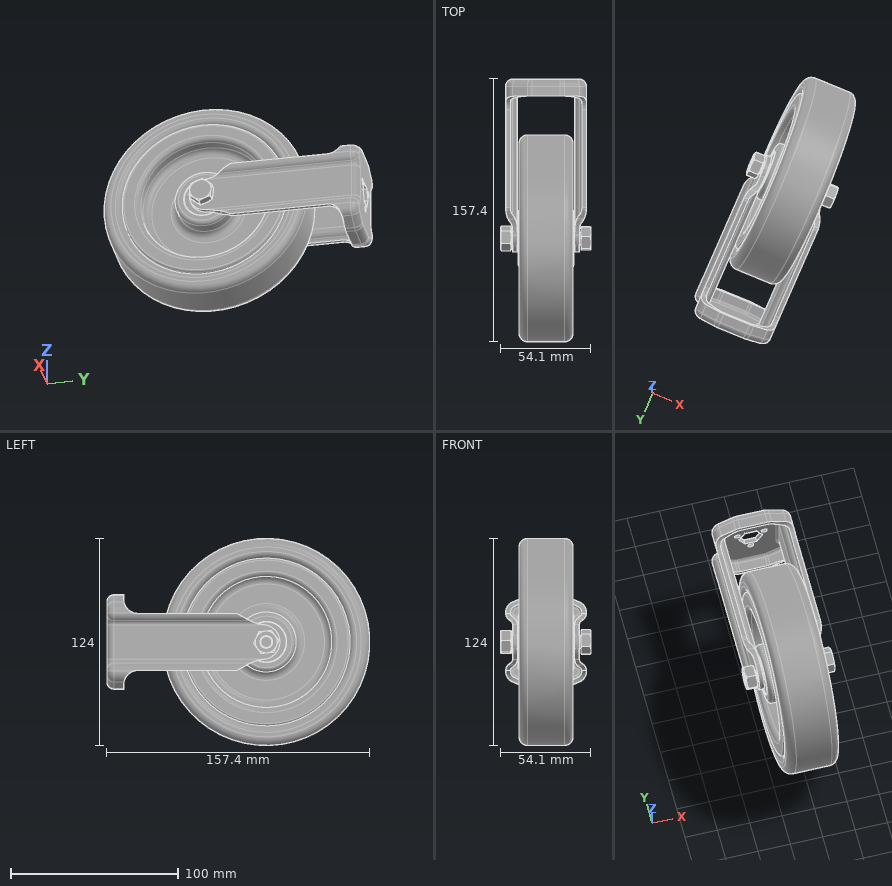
import cadquery as cq
import math


wheel_radius = 62.0
tyre_half_width = 16.2
tread_edge_radius = 5.2
tyre_inner_round = 4.0

core_radius = 50.2
rim_half_width = 16.2
rim_outer_round = 1.3
rim_cavity_radius = 39.2
rim_cavity_round = 3.1
hub_radius = 18.0
hub_half_width = 16.7
hub_round = 2.5
web_half_thickness = 1.9
rim_web_fillet = 4.4
hub_web_fillet = 5.0
bearing_recess_radius = 12.3
bearing_recess_depth = 0.3

hex_sides = 6
bolt_radius = 3.8
hex_corner_radius = 7.5
hex_inner_face = 20.8
bolt_head_outer_face = 26.9
nut_outer_face = 27.2
bolt_end_recess = 0.6
bolt_end_chamfer = 0.5
hex_chamfer_angle = math.radians(30)
bolt_head_turn = -38.0
nut_turn = -6.0

sheet = 2.8
head_back = 95.4
head_half_height = 28.3
head_half_width = 24.2
head_corner_radius = 7.1
head_corner_height = 17.5
head_slope = math.radians(23.3)
head_ridge_radius = 7.1
head_back_round = 4.4
head_skirt_depth = 10.2
arm_half_gap = 17.2
arm_flat_half_height = 10.2
arm_half_height = 17.2
arm_bend_radius = 2.8
arm_root_radius = 8.2
arm_corner_y = 17.8
arm_corner_round = 3.1
arm_taper_y = 11.5
arm_taper_half_height = 13.7
arm_neck_y = 7.1
arm_neck_half_height = 11.6
tip_radius = 10.4
tip_center_y = 2.2
hex_hole_corner_radius = 7.2
small_hole_radius = 1.7
small_hole_circle_radius = 9.6
small_hole_count = 3
first_small_hole_angle = 30.0


def disc(radius, half_width):
    """Solid disc about the axle, centred on the wheel's middle plane."""
    return cq.Workplane("YZ", origin=(-half_width, 0, 0)).circle(radius).extrude(2 * half_width)


def make_tyre():
    """Ring with rounded tread edges and a large round down into the bore on each side."""
    tread = disc(wheel_radius, tyre_half_width).edges().fillet(tread_edge_radius)
    bore = disc(core_radius, tyre_half_width)
    tyre = tread.cut(bore)
    bore_edges = tyre.faces("<X or >X").edges(cq.selectors.RadiusNthSelector(0))
    return bore_edges.fillet(tyre_inner_round)


def make_core():
    """Rim, thin web and hub, revolved, with a shallow bearing recess on each hub face."""
    recess_floor = hub_half_width - bearing_recess_depth
    recess_floor_radius = bearing_recess_radius - bearing_recess_depth
    hub_shoulder = hub_half_width - hub_round
    hub_foot = web_half_thickness + hub_web_fillet
    rim_foot = web_half_thickness + rim_web_fillet
    rim_shoulder = rim_half_width - rim_cavity_round
    half_profile = (
        cq.Workplane("XY")
        .moveTo(0, bolt_radius)
        .lineTo(recess_floor, bolt_radius)
        .lineTo(recess_floor, recess_floor_radius)
        .lineTo(hub_half_width, bearing_recess_radius)
        .lineTo(hub_half_width, hub_radius - hub_round)
        .radiusArc((hub_shoulder, hub_radius), -hub_round)
        .lineTo(hub_foot, hub_radius)
        .radiusArc((web_half_thickness, hub_radius + hub_web_fillet), hub_web_fillet)
        .lineTo(web_half_thickness, rim_cavity_radius - rim_web_fillet)
        .radiusArc((rim_foot, rim_cavity_radius), rim_web_fillet)
        .lineTo(rim_shoulder, rim_cavity_radius)
        .radiusArc((rim_half_width, rim_cavity_radius + rim_cavity_round), -rim_cavity_round)
        .lineTo(rim_half_width, core_radius - rim_outer_round)
        .radiusArc((rim_half_width - rim_outer_round, core_radius), -rim_outer_round)
        .lineTo(0, core_radius)
        .close()
    )
    half = half_profile.revolve(360, (0, 0, 0), (1, 0, 0))
    return half.union(half.mirror("YZ")).clean()


def hex_block(inner_face, outer_face, turn):
    """Hexagonal head along X with its corners chamfered at both ends."""
    flat_radius = hex_corner_radius * math.cos(math.pi / hex_sides)
    chamfer_length = (hex_corner_radius - flat_radius) * math.tan(hex_chamfer_angle)
    length = outer_face - inner_face
    block = (
        cq.Workplane("YZ", origin=(inner_face, 0, 0))
        .transformed(rotate=(0, 0, turn))
        .polygon(hex_sides, 2 * hex_corner_radius)
        .extrude(length)
    )
    envelope = (
        cq.Workplane("YZ", origin=(inner_face, 0, 0))
        .circle(hex_corner_radius)
        .extrude(length)
        .edges()
        .chamfer(chamfer_length, hex_corner_radius - flat_radius)
    )
    return block.intersect(envelope)


def make_bolt():
    """Hexagon bolt with its head on +X and a chamfered end inside the nut on -X."""
    shank_end = bolt_end_recess - nut_outer_face
    shank = (
        cq.Workplane("YZ", origin=(shank_end, 0, 0))
        .circle(bolt_radius)
        .extrude(hex_inner_face - shank_end)
        .faces("<X")
        .chamfer(bolt_end_chamfer)
    )
    return shank.union(hex_block(hex_inner_face, bolt_head_outer_face, bolt_head_turn))


def make_nut():
    """Hexagon nut on -X with a plain bore for the bolt."""
    nut = hex_block(-nut_outer_face, -hex_inner_face, nut_turn)
    return nut.cut(disc(bolt_radius, nut_outer_face))


def fork_outline(end_y):
    """Outer outline of the pressed sheet across the arms, one quarter mirrored twice."""
    arm_face = arm_half_gap + sheet
    bend_width = head_half_width - arm_face
    bend_height = head_corner_height - arm_flat_half_height
    bend_radii_sum = (bend_width**2 + bend_height**2) / (2 * bend_width)
    bend_angle = math.asin(bend_height / bend_radii_sum)
    flare_radius = bend_radii_sum - arm_bend_radius
    bend_x = arm_face + arm_bend_radius * (1 - math.cos(bend_angle))
    bend_z = arm_flat_half_height + arm_bend_radius * math.sin(bend_angle)

    corner_x = head_half_width - head_corner_radius * (1 - math.sin(head_slope))
    corner_z = head_corner_height + head_corner_radius * math.cos(head_slope)
    ridge_x = corner_x - (head_half_height - corner_z) / math.tan(head_slope)
    ridge_setback = head_ridge_radius * math.tan(head_slope / 2)
    ridge_end_x = ridge_x + ridge_setback * math.cos(head_slope)
    ridge_end_z = head_half_height - ridge_setback * math.sin(head_slope)

    quarter = (
        cq.Workplane("XZ", origin=(0, end_y, 0))
        .moveTo(0, head_half_height)
        .lineTo(ridge_x - ridge_setback, head_half_height)
        .radiusArc((ridge_end_x, ridge_end_z), head_ridge_radius)
        .lineTo(corner_x, corner_z)
        .radiusArc((head_half_width, head_corner_height), head_corner_radius)
        .radiusArc((bend_x, bend_z), flare_radius)
        .radiusArc((arm_face, arm_flat_half_height), -arm_bend_radius)
        .lineTo(arm_face, 0)
    )
    return quarter.mirrorX().mirrorY()


def fork_block(inset, back_y, back_round):
    """Outline moved inward, run from the head to beyond the arm tips, rounded at the back."""
    outline = fork_outline(back_y)
    if inset > 0:
        outline = outline.offset2D(-inset)
    block = outline.extrude(back_y + 2 * tip_radius)
    return block.faces(">Y").edges().fillet(back_round)


def fork_side_shape():
    """Block that trims the sheet to its side outline: tall head, arms, round tips."""
    skirt_y = head_back - head_skirt_depth
    upper = (
        cq.Workplane("YZ", origin=(-head_half_width, 0, 0))
        .moveTo(tip_center_y - tip_radius, 0)
        .radiusArc((tip_center_y, tip_radius), tip_radius)
        .threePointArc((arm_neck_y, arm_neck_half_height), (arm_taper_y, arm_taper_half_height))
        .lineTo(arm_corner_y, arm_half_height)
        .lineTo(skirt_y - arm_root_radius, arm_half_height)
        .radiusArc((skirt_y, arm_half_height + arm_root_radius), -arm_root_radius)
        .lineTo(skirt_y, head_half_height)
        .lineTo(head_back, head_half_height)
        .lineTo(head_back, 0)
        .close()
        .extrude(2 * head_half_width)
    )
    arm_corner = cq.selectors.NearestToPointSelector((0, arm_corner_y, arm_half_height))
    upper = upper.edges("|X").edges(arm_corner).fillet(arm_corner_round)
    return upper.union(upper.mirror("XY")).clean()


def make_fork():
    """Pressed sheet fork: dished head plate, two flared arms, holes in the plate and arms."""
    shell = fork_block(0, head_back, head_back_round)
    shell = shell.cut(fork_block(sheet, head_back - sheet, head_back_round - sheet))
    fork = shell.intersect(fork_side_shape())
    plate_plane = cq.Workplane("XZ", origin=(0, head_back, 0))
    hex_hole = plate_plane.polygon(hex_sides, 2 * hex_hole_corner_radius).extrude(2 * sheet)
    small_holes = (
        plate_plane.polarArray(small_hole_circle_radius, first_small_hole_angle, 360, small_hole_count)
        .circle(small_hole_radius)
        .extrude(2 * sheet)
    )
    return fork.cut(hex_hole).cut(small_holes).cut(disc(bolt_radius, head_half_width))


tyre = make_tyre()
core = make_core()
bolt = make_bolt()
nut = make_nut()
fork = make_fork()
result = cq.Compound.makeCompound([tyre.val(), core.val(), bolt.val(), nut.val(), fork.val()])